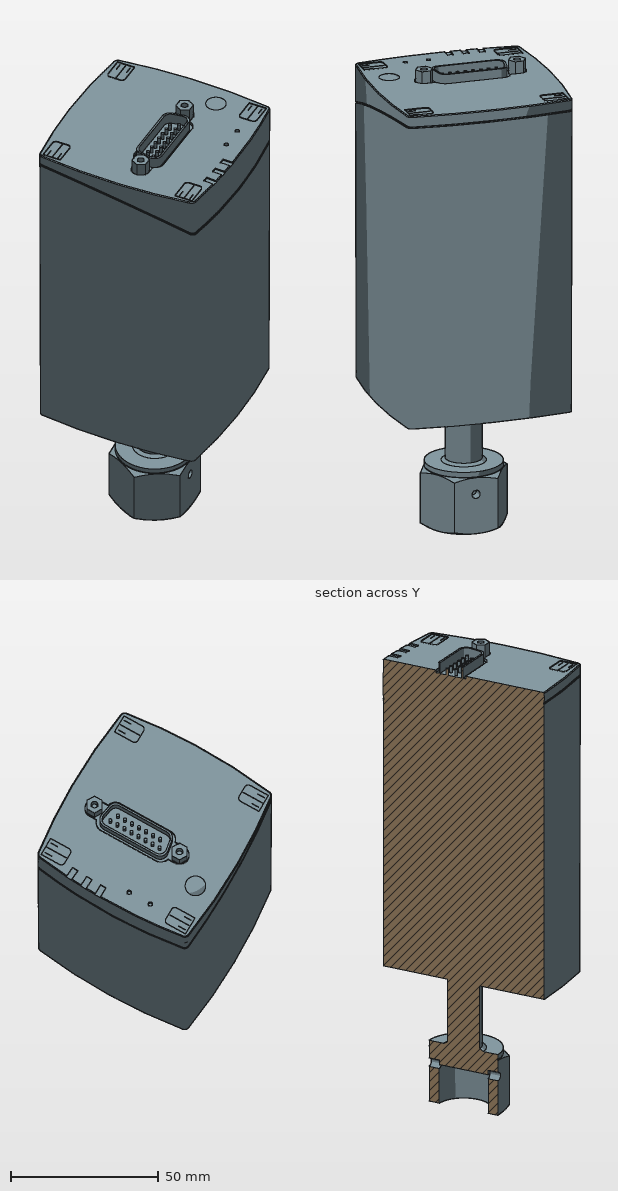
import cadquery as cq
import math

TOTAL_HEIGHT = 162.3
HOUSING_BOTTOM = 46.0
HOUSING_TOP = 158.3

TOP_SIZE_X, TOP_SIZE_Y = 63.0, 62.8
BOTTOM_SIZE_X, BOTTOM_SIZE_Y = 62.7, 62.5
SIDE_BULGE = 2.1
CORNER_RADIUS = 1.8
TOP_CHAMFER = 0.3

SEAM_HIGH = 154.2
SEAM_DROP = 10.7
SEAM_WIDTH = 0.5
SEAM_DEPTH = 0.25

TUBE_DIAMETER = 12.7
WELD_DIAMETER = 15.5
WELD_TOP = 23.2
COLLAR_DIAMETER = 27.0
COLLAR_TOP = 22.4
NUT_HEIGHT = 20.5
NUT_ACROSS_FLATS = 27.0
NUT_END_DIAMETER = 26.3
NUT_CHAMFER_HEIGHT = 1.3
NUT_BORE_DIAMETER = 19.0
NUT_BORE_DEPTH = 14.1
LEAK_HOLE_DIAMETER = 3.0
LEAK_HOLE_Z = 14.3

CONNECTOR_X, CONNECTOR_Y = 5.0, -4.0
D_SLANT = 10.0
RECESS_WIDTH, RECESS_LENGTH = 11.5, 27.3
RECESS_CORNER = 3.2
RECESS_DEPTH = 1.0
TAB_WIDTH = 6.5
SHELL_CLEARANCE = 1.0
SHELL_WALL = 0.6
SHELL_TOP = 161.2
STUD_SPACING = 33.3
STUD_ACROSS_FLATS = 5.2
STUD_HOLE_DIAMETER = 2.3
STUD_HOLE_DEPTH = 3.2
PIN_DIAMETER = 1.0
PIN_HEIGHT = 2.3
PIN_PITCH = 2.8
PIN_ROW_SPACING = 2.8
PIN_ROWS = ((-1, 7), (1, 8))

PAD_X, PAD_Y = 25.0, 24.0
PAD_WIDTH, PAD_LENGTH = 6.5, 8.5
PAD_CORNER = 1.3
PAD_DEPTH = 0.3
LINE_WIDTH = 0.1
LINE_DEPTH = 0.1
MIDDLE_LINE_LENGTH = 7.5
SHORT_LINE_LENGTH = 2.6
SHORT_LINE_OFFSET = 2.0
SHORT_LINE_MARGIN = 0.8

BUTTON_X, BUTTON_Y = 11.8, 22.7
BUTTON_DIAMETER = 7.0
BUTTON_HEIGHT = 1.0
PINHOLE_X = 25.0
PINHOLE_Y = (12.7, 4.4)
PINHOLE_DIAMETER = 1.5
PINHOLE_DEPTH = 1.6
NOTCH_Y = (-4.4, -10.0, -15.9)
NOTCH_REACH = 3.9
NOTCH_WIDTH = 2.1
NOTCH_DEPTH = 0.5


def cylinder(diameter, bottom, top, x=0.0, y=0.0):
    return cq.Workplane("XY", origin=(x, y, bottom)).circle(diameter / 2).extrude(top - bottom)


def hex_prism(across_flats, bottom, top, x=0.0, y=0.0):
    """Hexagonal prism with two of its corners pointing along Y."""
    corner_diameter = 2 * across_flats / math.sqrt(3)
    turned_plane = cq.Plane(origin=(x, y, bottom), xDir=(0, 1, 0), normal=(0, 0, 1))
    return cq.Workplane(turned_plane).polygon(6, corner_diameter).extrude(top - bottom)


def bulged_square(size_x, size_y):
    """Closed outline of four arcs meeting in rounded corners."""
    side_x, side_y = size_x / 2, size_y / 2
    corner_x, corner_y = side_x - SIDE_BULGE, side_y - SIDE_BULGE
    outline = (
        cq.Sketch()
        .arc((-corner_x, -corner_y), (0, -side_y), (corner_x, -corner_y))
        .arc((corner_x, -corner_y), (side_x, 0), (corner_x, corner_y))
        .arc((corner_x, corner_y), (0, side_y), (-corner_x, corner_y))
        .arc((-corner_x, corner_y), (-side_x, 0), (-corner_x, -corner_y))
        .assemble()
    )
    return outline.vertices().fillet(CORNER_RADIUS)


def drafted_block(inset):
    """The housing volume with all of its sides moved inwards by the inset."""
    bottom = bulged_square(BOTTOM_SIZE_X - 2 * inset, BOTTOM_SIZE_Y - 2 * inset)
    top = bulged_square(TOP_SIZE_X - 2 * inset, TOP_SIZE_Y - 2 * inset)
    height = HOUSING_TOP - HOUSING_BOTTOM
    return (
        cq.Workplane("XY", origin=(0, 0, HOUSING_BOTTOM))
        .placeSketch(bottom, top.moved(cq.Location(cq.Vector(0, 0, height))))
        .loft(ruled=True)
    )


def seam_groove():
    radius = (TOP_SIZE_X**2 + SEAM_DROP**2) / (2 * SEAM_DROP)
    sheet = (
        cq.Workplane("XZ", origin=(-TOP_SIZE_X / 2, 0, SEAM_HIGH - radius))
        .circle(radius + SEAM_WIDTH / 2)
        .circle(radius - SEAM_WIDTH / 2)
        .extrude(TOP_SIZE_Y, both=True)
    )
    return sheet.cut(drafted_block(SEAM_DEPTH))


def fitting():
    """Tube, weld cone, collar and chamfered hexagonal nut with its leak hole."""
    tube = cylinder(TUBE_DIAMETER, COLLAR_TOP, HOUSING_BOTTOM)
    weld = (
        cq.Workplane("XY", origin=(0, 0, COLLAR_TOP))
        .circle(WELD_DIAMETER / 2)
        .workplane(offset=WELD_TOP - COLLAR_TOP)
        .circle(TUBE_DIAMETER / 2)
        .loft()
    )
    collar = cylinder(COLLAR_DIAMETER, NUT_HEIGHT, COLLAR_TOP)

    corner_radius = NUT_ACROSS_FLATS / math.sqrt(3)
    hexagon = hex_prism(NUT_ACROSS_FLATS, 0, NUT_HEIGHT)
    end_radius = NUT_END_DIAMETER / 2
    chamfer_envelope = (
        cq.Workplane("XZ")
        .moveTo(0, 0)
        .lineTo(end_radius, 0)
        .lineTo(corner_radius, NUT_CHAMFER_HEIGHT)
        .lineTo(corner_radius, NUT_HEIGHT - NUT_CHAMFER_HEIGHT)
        .lineTo(end_radius, NUT_HEIGHT)
        .lineTo(0, NUT_HEIGHT)
        .close()
        .revolve(360, (0, 0, 0), (0, 1, 0))
    )
    leak_hole = (
        cq.Workplane("YZ", origin=(0, 0, LEAK_HOLE_Z))
        .circle(LEAK_HOLE_DIAMETER / 2)
        .extrude(NUT_ACROSS_FLATS, both=True)
    )
    nut = hexagon.intersect(chamfer_envelope)
    nut = nut.cut(cylinder(NUT_BORE_DIAMETER, 0, NUT_HEIGHT)).cut(leak_hole)
    gland = cylinder(NUT_BORE_DIAMETER, NUT_BORE_DEPTH, NUT_HEIGHT)
    nut = nut.union(gland)
    return tube.union(weld).union(collar).union(nut)


def d_prism(inset, bottom, top):
    """D-sub shaped prism, the recess outline shrunk by the inset."""
    half_width = RECESS_WIDTH / 2 - inset
    half_length = RECESS_LENGTH / 2 - inset
    slant = half_width * math.tan(math.radians(D_SLANT))
    corners = [
        (-half_width, slant - half_length),
        (half_width, -slant - half_length),
        (half_width, half_length + slant),
        (-half_width, half_length - slant),
    ]
    return (
        cq.Workplane("XY", origin=(CONNECTOR_X, CONNECTOR_Y, bottom))
        .polyline(corners)
        .close()
        .extrude(top - bottom)
        .edges("|Z")
        .fillet(RECESS_CORNER - inset / 2)
    )


def add_connector(housing):
    floor = HOUSING_TOP - RECESS_DEPTH
    recess = d_prism(0, floor, HOUSING_TOP)
    tabs = (
        cq.Workplane("XY", origin=(CONNECTOR_X, CONNECTOR_Y, floor))
        .slot2D(STUD_SPACING + TAB_WIDTH, TAB_WIDTH, 90)
        .extrude(RECESS_DEPTH)
    )
    housing = housing.cut(recess).cut(tabs)

    shell = d_prism(SHELL_CLEARANCE, floor, SHELL_TOP)
    shell = shell.cut(d_prism(SHELL_CLEARANCE + SHELL_WALL, floor, SHELL_TOP))
    housing = housing.union(shell)

    for side, count in PIN_ROWS:
        pin_x = CONNECTOR_X + side * PIN_ROW_SPACING / 2
        for index in range(count):
            pin_y = CONNECTOR_Y + (index - (count - 1) / 2) * PIN_PITCH
            housing = housing.union(cylinder(PIN_DIAMETER, floor, floor + PIN_HEIGHT, pin_x, pin_y))

    for side in (-1, 1):
        stud_y = CONNECTOR_Y + side * STUD_SPACING / 2
        stud = hex_prism(STUD_ACROSS_FLATS, floor, TOTAL_HEIGHT, CONNECTOR_X, stud_y)
        hole_bottom = TOTAL_HEIGHT - STUD_HOLE_DEPTH
        hole = cylinder(STUD_HOLE_DIAMETER, hole_bottom, TOTAL_HEIGHT, CONNECTOR_X, stud_y)
        housing = housing.union(stud.cut(hole))
    return housing


def pad_recess():
    """Cutter for the pad in the +X +Y corner: a pocket with three fine lines in its floor."""
    floor = HOUSING_TOP - PAD_DEPTH
    pocket = (
        cq.Workplane("XY", origin=(PAD_X, PAD_Y, floor))
        .rect(PAD_WIDTH, PAD_LENGTH)
        .extrude(PAD_DEPTH)
        .edges("|Z and <Y")
        .fillet(PAD_CORNER)
    )
    line_bottom = cq.Workplane("XY", origin=(PAD_X, PAD_Y, floor - LINE_DEPTH))
    middle_line = line_bottom.rect(LINE_WIDTH, MIDDLE_LINE_LENGTH).extrude(LINE_DEPTH)
    short_y = (PAD_LENGTH - SHORT_LINE_LENGTH) / 2 - SHORT_LINE_MARGIN
    short_lines = (
        line_bottom
        .pushPoints([(-SHORT_LINE_OFFSET, short_y), (SHORT_LINE_OFFSET, short_y)])
        .rect(LINE_WIDTH, SHORT_LINE_LENGTH)
        .extrude(LINE_DEPTH)
    )
    return pocket.union(middle_line).union(short_lines)


def cut_pads(housing):
    pad = pad_recess()
    pads_right = pad.union(pad.mirror("XZ"))
    return housing.cut(pads_right).cut(pads_right.mirror("YZ"))


def add_button(housing):
    base_radius = BUTTON_DIAMETER / 2
    sphere_radius = (base_radius**2 + BUTTON_HEIGHT**2) / (2 * BUTTON_HEIGHT)
    half_angle = math.asin(base_radius / sphere_radius) / 2
    arc_middle = (
        sphere_radius * math.sin(half_angle),
        BUTTON_HEIGHT - sphere_radius * (1 - math.cos(half_angle)),
    )
    dome = (
        cq.Workplane("XZ", origin=(BUTTON_X, BUTTON_Y, HOUSING_TOP))
        .moveTo(0, 0)
        .lineTo(base_radius, 0)
        .threePointArc(arc_middle, (0, BUTTON_HEIGHT))
        .close()
        .revolve(360, (0, 0, 0), (0, 1, 0))
    )
    return housing.union(dome)


def cut_edge_notches(housing):
    """Shallow notches in the top face that break out through the +X edge."""
    half_chord = TOP_SIZE_Y / 2 - SIDE_BULGE
    side_radius = (half_chord**2 + SIDE_BULGE**2) / (2 * SIDE_BULGE)
    arc_centre_x = TOP_SIZE_X / 2 - side_radius
    for y in NOTCH_Y:
        angle = math.degrees(math.asin(y / side_radius))
        notch = (
            cq.Workplane("XY", origin=(arc_centre_x, 0, HOUSING_TOP - NOTCH_DEPTH))
            .center(side_radius, 0)
            .rect(2 * NOTCH_REACH, NOTCH_WIDTH)
            .extrude(NOTCH_DEPTH)
            .rotate((arc_centre_x, 0, 0), (arc_centre_x, 0, 1), angle)
        )
        housing = housing.cut(notch)
    return housing


housing = drafted_block(0).faces(">Z").chamfer(TOP_CHAMFER)
housing = housing.cut(seam_groove())
housing = add_connector(housing)
housing = cut_pads(housing)
housing = add_button(housing)
housing = cut_edge_notches(housing)
for pinhole_y in PINHOLE_Y:
    housing = housing.cut(
        cylinder(PINHOLE_DIAMETER, HOUSING_TOP - PINHOLE_DEPTH, HOUSING_TOP, PINHOLE_X, pinhole_y)
    )

result = housing.union(fitting())